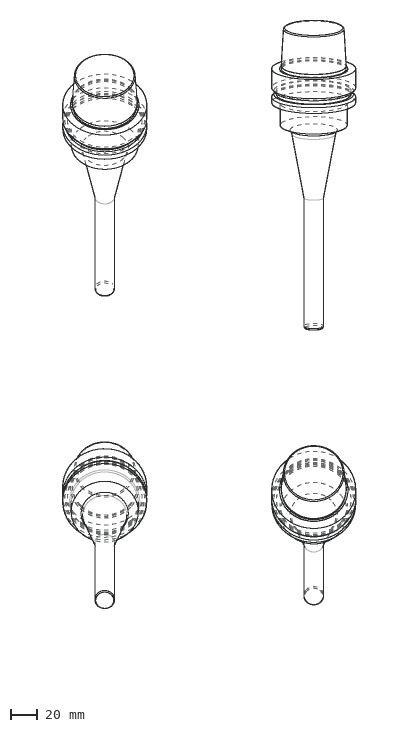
import cadquery as cq
import math

total_length = 232.0

taper_length = 31.5
taper_top_radius = 22.7
taper_base_radius = 24.3
taper_chamfer_width = 1.0
taper_chamfer_height = 1.0

relief_height = 2.0
relief_inset = 0.2
relief_outer_radius = 25.5
relief_depth = 0.5

flange_radius = 62.8 / 2
flange_height = 26.2
upper_band_height = 14.8
lower_band_height = 4.5
groove_radius = 27.8
groove_floor_height = 3.0
groove_side_depth = 2.0
groove_side_width = 1.9

collar_radius = 25.0
collar_fillet = 1.2
collar_height = 17.6
shoulder_angle = 30.0

neck_top_radius = 16.5
neck_top_z = 150.0
neck_blend_tangent_z = 153.0
neck_blend_tangent_radius = 17.6
stem_radius = 7.5
stem_top_z = 100.6
tip_chamfer_width = 0.7
tip_chamfer_height = 1.5

flange_top_z = total_length - taper_length
flange_bottom_z = flange_top_z - flange_height
groove_top_z = flange_top_z - upper_band_height
groove_bottom_z = flange_bottom_z + lower_band_height
collar_bottom_z = flange_bottom_z - collar_height
groove_floor_top_z = groove_top_z - groove_side_depth
groove_floor_bottom_z = groove_floor_top_z - groove_floor_height
groove_rim_radius = groove_radius + groove_side_width


def neck_blend_middle():
    """Point on the concave blend between the shoulder and the conical neck."""
    chord_r = neck_blend_tangent_radius - neck_top_radius
    chord_z = neck_blend_tangent_z - neck_top_z
    chord = math.hypot(chord_r, chord_z)
    neck_angle = math.atan2(neck_top_z - stem_top_z, neck_top_radius - stem_radius)
    turn = neck_angle - math.radians(shoulder_angle)
    sag = chord / 2 * math.tan(turn / 4)
    middle_r = (neck_blend_tangent_radius + neck_top_radius) / 2 - sag * chord_z / chord
    middle_z = (neck_blend_tangent_z + neck_top_z) / 2 + sag * chord_r / chord
    return middle_r, middle_z


def half_profile():
    """Radius-height outline, drawn from the tip up to the top face."""
    diagonal = math.sqrt(0.5)
    fillet_center = (collar_radius + collar_fillet, flange_bottom_z - collar_fillet)
    fillet_middle = (
        fillet_center[0] - collar_fillet * diagonal,
        fillet_center[1] + collar_fillet * diagonal,
    )
    return (
        cq.Workplane("XZ")
        .moveTo(0, 0)
        .lineTo(stem_radius - tip_chamfer_width, 0)
        .lineTo(stem_radius, tip_chamfer_height)
        .lineTo(stem_radius, stem_top_z)
        .lineTo(neck_top_radius, neck_top_z)
        .threePointArc(neck_blend_middle(), (neck_blend_tangent_radius, neck_blend_tangent_z))
        .lineTo(collar_radius, collar_bottom_z)
        .lineTo(collar_radius, fillet_center[1])
        .threePointArc(fillet_middle, (fillet_center[0], flange_bottom_z))
        .lineTo(flange_radius, flange_bottom_z)
        .lineTo(flange_radius, groove_bottom_z)
        .lineTo(groove_rim_radius, groove_floor_bottom_z)
        .lineTo(groove_radius, groove_floor_bottom_z)
        .lineTo(groove_radius, groove_floor_top_z)
        .lineTo(groove_rim_radius, groove_floor_top_z)
        .lineTo(flange_radius, groove_top_z)
        .lineTo(flange_radius, flange_top_z)
        .lineTo(relief_outer_radius, flange_top_z)
        .lineTo(relief_outer_radius, flange_top_z - relief_depth)
        .lineTo(taper_base_radius - relief_inset, flange_top_z - relief_depth)
        .lineTo(taper_base_radius - relief_inset, flange_top_z + relief_height - relief_inset)
        .lineTo(taper_base_radius, flange_top_z + relief_height)
        .lineTo(taper_top_radius, total_length - taper_chamfer_height)
        .lineTo(taper_top_radius - taper_chamfer_width, total_length)
        .lineTo(0, total_length)
        .close()
    )


result = half_profile().revolve(360, (0, 0, 0), (0, 1, 0))